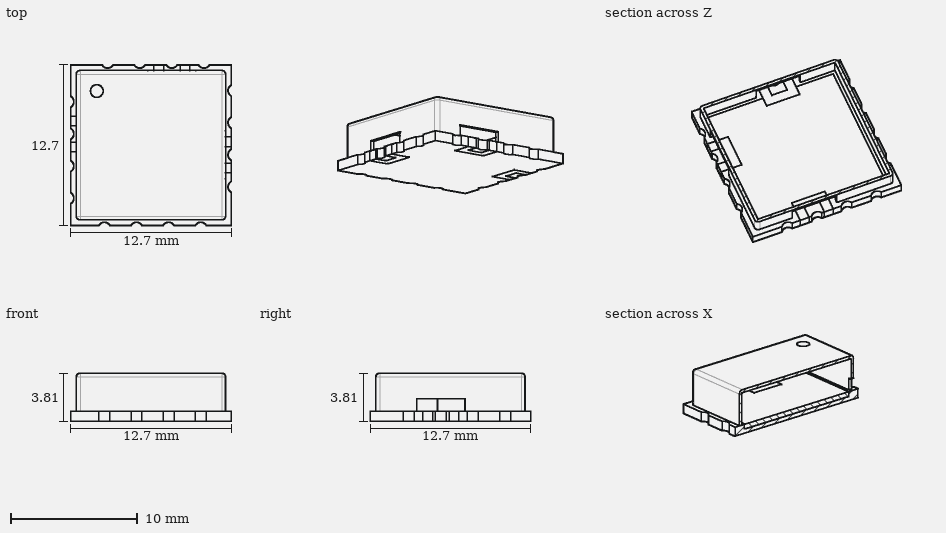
import cadquery as cq

board_side = 12.7
board_thickness = 0.8
notch_diameter = 1.0
notch_center_overhang = 0.25
notch_pitch = 2.54
notches_per_edge = 4

pad_width = 1.31
pad_depth = 1.0
insulator_gap = 0.76
insulator_width = pad_width + 2 * insulator_gap
insulator_depth = pad_depth + insulator_gap

board_border = 1.0
inlay_side = board_side - 2 * board_border
inlay_thickness = board_thickness / 2

total_height = 3.81
lid_side = 11.81
lid_height = total_height - board_thickness
lid_wall = 0.3
lid_fillet = 0.3
window_width = 3.8
window_height = 0.98

dot_diameter = 1.0
dot_thickness = 0.13
dot_offset = 4.28

edges = [
    (0, 0.13, None),
    (90, 0.51, 1),
    (180, -0.38, 1),
    (270, 0.38, 1),
]


def notch_positions(row_middle):
    """Places of one edge's notches, measured along that edge."""
    first = row_middle - notch_pitch * (notches_per_edge - 1) / 2
    return [first + i * notch_pitch for i in range(notches_per_edge)]


def edge_block(position, width, depth, height, outer_face, base):
    """A block that reaches inward from the plane y = -outer_face."""
    return (
        cq.Workplane("XY", origin=(position, depth / 2 - outer_face, base))
        .box(width, depth, height, centered=(True, True, False))
    )


def turned(shape, angle):
    """Turn a shape from the -Y edge to another edge."""
    return shape.rotate((0, 0, 0), (0, 0, 1), angle)


def make_notches():
    """The cylinders that cut all the edge notches."""
    center_distance = board_side / 2 + notch_center_overhang
    cutters = cq.Workplane("XY")
    for angle, row_middle, _ in edges:
        centers = [(position, -center_distance) for position in notch_positions(row_middle)]
        row = (
            cq.Workplane("XY")
            .pushPoints(centers)
            .circle(notch_diameter / 2)
            .extrude(board_thickness)
        )
        cutters = cutters.add(turned(row, angle))
    return cutters.combine()


def make_pad_blank(position):
    """A pad before its notch is cut."""
    return edge_block(position, pad_width, pad_depth, board_thickness, board_side / 2, 0)


def make_insulator_blank(position):
    """The full block that holds an insulator and its pad."""
    return edge_block(position, insulator_width, insulator_depth, board_thickness, board_side / 2, 0)


def make_window(position):
    """The block that cuts one window through a side wall of the lid."""
    return edge_block(position, window_width, 2 * lid_wall, window_height, lid_side / 2, board_thickness)


def make_inlay_blank():
    """The inlay before the insulators are cut out of it."""
    return (
        cq.Workplane("XY", origin=(0, 0, board_thickness - inlay_thickness))
        .rect(inlay_side, inlay_side)
        .extrude(inlay_thickness)
    )


def make_lid_shell():
    """The hollow lid, without its windows and its dot recess."""
    base = cq.Workplane("XY", origin=(0, 0, board_thickness))
    cavity_side = lid_side - 2 * lid_wall
    outside = base.rect(lid_side, lid_side).extrude(lid_height).edges("|Z or >Z").fillet(lid_fillet)
    cavity = base.rect(cavity_side, cavity_side).extrude(lid_height - lid_wall)
    return outside.cut(cavity)


def make_dot():
    """The round mark near the -X, +Y corner of the lid."""
    return (
        cq.Workplane("XY", origin=(-dot_offset, dot_offset, total_height - dot_thickness))
        .circle(dot_diameter / 2)
        .extrude(dot_thickness)
    )


notches = make_notches()
dot = make_dot()
inlay = make_inlay_blank()
board = cq.Workplane("XY").rect(board_side, board_side).extrude(board_thickness).cut(notches).cut(inlay)
lid = make_lid_shell().cut(dot)

pads = []
insulators = []
for angle, row_middle, pad_notch in edges:
    if pad_notch is None:
        continue
    position = notch_positions(row_middle)[pad_notch]
    pad_blank = turned(make_pad_blank(position), angle)
    insulator_blank = turned(make_insulator_blank(position), angle)

    pads.append(pad_blank.cut(notches))
    insulators.append(insulator_blank.cut(pad_blank))
    board = board.cut(insulator_blank)
    inlay = inlay.cut(insulator_blank)
    lid = lid.cut(turned(make_window(position), angle))

result = cq.Compound.makeCompound([
    board.val(),
    inlay.val(),
    lid.val(),
    dot.val(),
    *[pad.val() for pad in pads],
    *[insulator.val() for insulator in insulators],
])